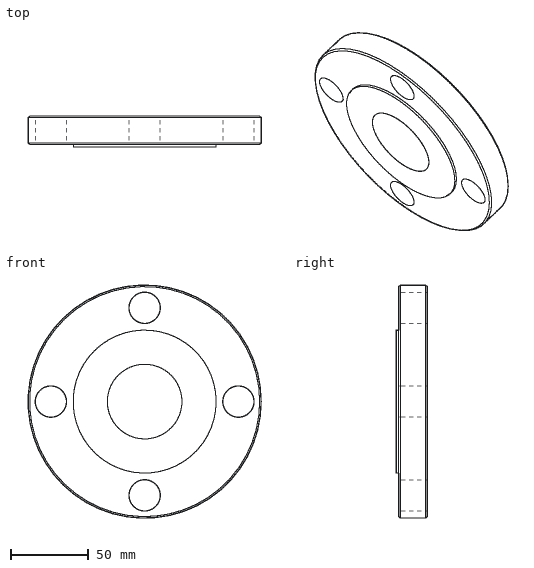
import cadquery as cq

flange_diameter = 150.0
overall_thickness = 20.1
flange_thickness = 18.5
rim_chamfer = 1.0

raised_face_diameter = 92.0
pad_diameter = 48.0
pad_height = 0.08
raised_face_height = overall_thickness - flange_thickness - pad_height

bolt_hole_diameter = 20.0
bolt_circle_diameter = 120.6
bolt_count = 4


def disc(diameter, start, height):
    """Cylinder reaching from start to start + height in the -Y direction."""
    return cq.Workplane("XZ", origin=(0, -start, 0)).circle(diameter / 2).extrude(height)


flange = disc(flange_diameter, 0, flange_thickness).edges().chamfer(rim_chamfer)
raised_face = disc(raised_face_diameter, flange_thickness, raised_face_height)
pad = disc(pad_diameter, flange_thickness + raised_face_height, pad_height)

bolt_holes = (
    cq.Workplane("XZ")
    .polarArray(bolt_circle_diameter / 2, 0, 360, bolt_count)
    .circle(bolt_hole_diameter / 2)
    .extrude(flange_thickness)
)

result = flange.union(raised_face).union(pad).cut(bolt_holes)